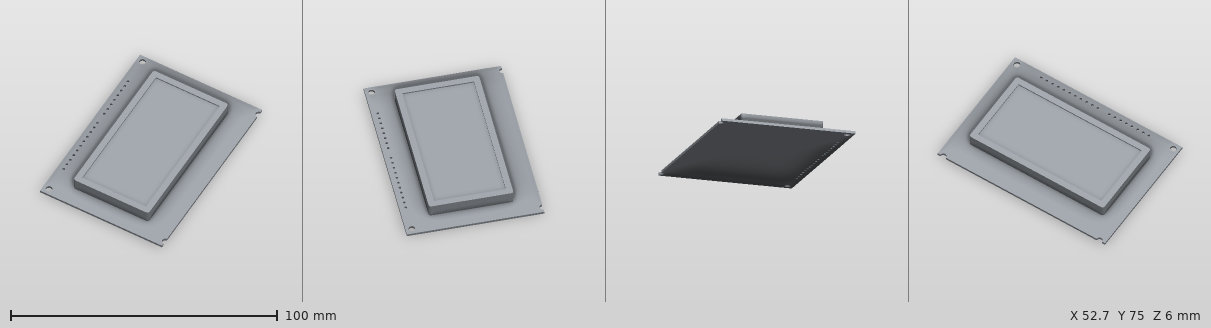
import cadquery as cq

board_width = 52.7
board_length = 75.0
board_thickness = 1.0

mount_diameter = 2.5
mount_inset = 2.5
mount_x = mount_inset - board_width / 2
mount_y = board_length / 2 - mount_inset

pin_diameter = 1.0
pin_positions = 20
pin_row_length = 48.3
pin_pitch = pin_row_length / (pin_positions - 1)
missing_pin = 8
first_pin_y = pin_row_length / 2

frame_width = 32.5
frame_length = 60.2
frame_height = 5.0
frame_corner_radius = 1.0

frame_border = 2.5
window_depth = 0.5


def make_board():
    board = cq.Workplane("XY").box(
        board_width, board_length, board_thickness, centered=(True, True, False)
    )
    mount_points = [(x, y) for x in (mount_x, board_width / 2) for y in (-mount_y, mount_y)]
    pin_points = [
        (mount_x, first_pin_y - i * pin_pitch) for i in range(pin_positions) if i != missing_pin
    ]
    for points, diameter in ((mount_points, mount_diameter), (pin_points, pin_diameter)):
        holes = cq.Workplane("XY").pushPoints(points).circle(diameter / 2).extrude(board_thickness)
        board = board.cut(holes)
    return board


def make_frame():
    frame = (
        cq.Workplane("XY", origin=(0, 0, board_thickness))
        .rect(frame_width, frame_length)
        .extrude(frame_height)
        .edges("|Z")
        .fillet(frame_corner_radius)
    )
    return (
        frame.faces(">Z")
        .workplane()
        .rect(frame_width - 2 * frame_border, frame_length - 2 * frame_border)
        .cutBlind(-window_depth)
    )


result = make_board().union(make_frame())